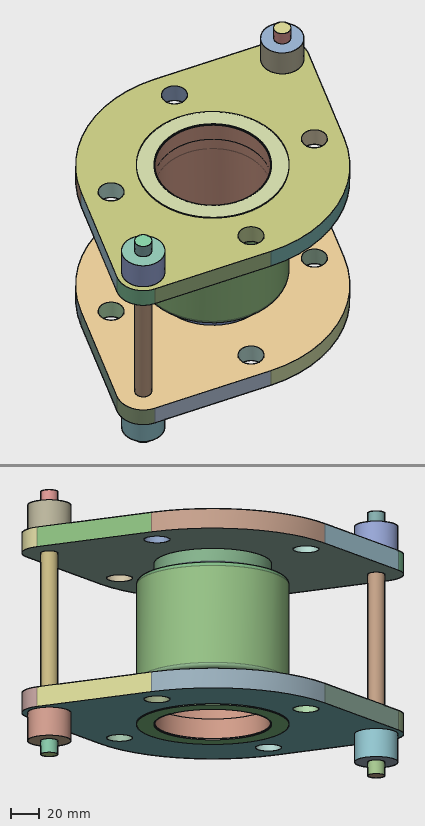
import cadquery as cq
import math

FLANGE_LENGTH = 271.0
FLANGE_WIDTH = 189.7
EAR_RADIUS = 19.0
FLANGE_THICKNESS = 14.0
FLANGE_GAP = 100.3

BODY_DIAMETER = 105.7
BODY_LENGTH = 76.0
NECK_DIAMETER = 81.3
BODY_FILLET = 3.3
BORE_DIAMETER = 80.0

SEAL_HEIGHT = 0.8
SEAL_DIAMETER = BODY_DIAMETER
SEAL_BORE = NECK_DIAMETER

BOLT_CIRCLE = 150.0
BOLT_HOLE_DIAMETER = 18.0
BOLT_COUNT = 4

ROD_DIAMETER = 12.0
ROD_LENGTH = 188.0
NUT_DIAMETER = 30.0
NUT_HEIGHT = 20.0

FLANGE_INNER_Z = FLANGE_GAP / 2
FLANGE_OUTER_Z = FLANGE_INNER_Z + FLANGE_THICKNESS
ROD_Y = FLANGE_LENGTH / 2 - EAR_RADIUS


def cylinder(diameter, bottom, height):
    """Cylinder on the Z axis, starting at the given height."""
    return cq.Workplane("XY").workplane(offset=bottom).circle(diameter / 2).extrude(height)


def make_flange():
    """Upper flange: a disc joined to two rounded ears by tangent lines."""
    disc_radius = FLANGE_WIDTH / 2
    sine = (disc_radius - EAR_RADIUS) / ROD_Y
    cosine = math.sqrt(1 - sine**2)
    disc_x = disc_radius * cosine
    disc_y = disc_radius * sine
    ear_x = EAR_RADIUS * cosine
    ear_y = ROD_Y + EAR_RADIUS * sine
    tip_y = FLANGE_LENGTH / 2

    plate = (
        cq.Workplane("XY")
        .workplane(offset=FLANGE_INNER_Z)
        .moveTo(disc_x, -disc_y)
        .threePointArc((disc_radius, 0), (disc_x, disc_y))
        .lineTo(ear_x, ear_y)
        .threePointArc((0, tip_y), (-ear_x, ear_y))
        .lineTo(-disc_x, disc_y)
        .threePointArc((-disc_radius, 0), (-disc_x, -disc_y))
        .lineTo(-ear_x, -ear_y)
        .threePointArc((0, -tip_y), (ear_x, -ear_y))
        .close()
        .extrude(FLANGE_THICKNESS)
    )
    bolt_holes = (
        cq.Workplane("XY")
        .workplane(offset=FLANGE_INNER_Z)
        .polarArray(BOLT_CIRCLE / 2, 180 / BOLT_COUNT, 360, BOLT_COUNT)
        .circle(BOLT_HOLE_DIAMETER / 2)
        .extrude(FLANGE_THICKNESS)
    )
    seal = cylinder(SEAL_DIAMETER, FLANGE_OUTER_Z, SEAL_HEIGHT)
    seal = seal.cut(cylinder(SEAL_BORE, FLANGE_OUTER_Z, SEAL_HEIGHT))
    return plate.cut(bolt_holes).union(seal)


def make_body():
    """Sleeve with a narrower neck at each end and filleted shoulders."""
    neck = cylinder(NECK_DIAMETER, -FLANGE_INNER_Z, FLANGE_GAP)
    sleeve = cylinder(BODY_DIAMETER, -BODY_LENGTH / 2, BODY_LENGTH)
    shoulder_edges = cq.selectors.BoxSelector(
        (-BODY_DIAMETER, -BODY_DIAMETER, -BODY_LENGTH / 2 - BODY_FILLET),
        (BODY_DIAMETER, BODY_DIAMETER, BODY_LENGTH / 2 + BODY_FILLET),
    )
    return sleeve.union(neck).edges("%CIRCLE").edges(shoulder_edges).fillet(BODY_FILLET)


def make_rod():
    """Limit rod through both flanges with a nut against each outer face."""
    rod = cylinder(ROD_DIAMETER, -ROD_LENGTH / 2, ROD_LENGTH)
    upper_nut = cylinder(NUT_DIAMETER, FLANGE_OUTER_Z, NUT_HEIGHT)
    return rod.union(upper_nut).union(upper_nut.mirror("XY"))


flange = make_flange()
bore = cylinder(BORE_DIAMETER, -FLANGE_OUTER_Z, 2 * FLANGE_OUTER_Z)

result = make_body().union(flange).union(flange.mirror("XY")).cut(bore)
for rod_y in (-ROD_Y, ROD_Y):
    result = result.union(make_rod().translate((0, rod_y, 0)))